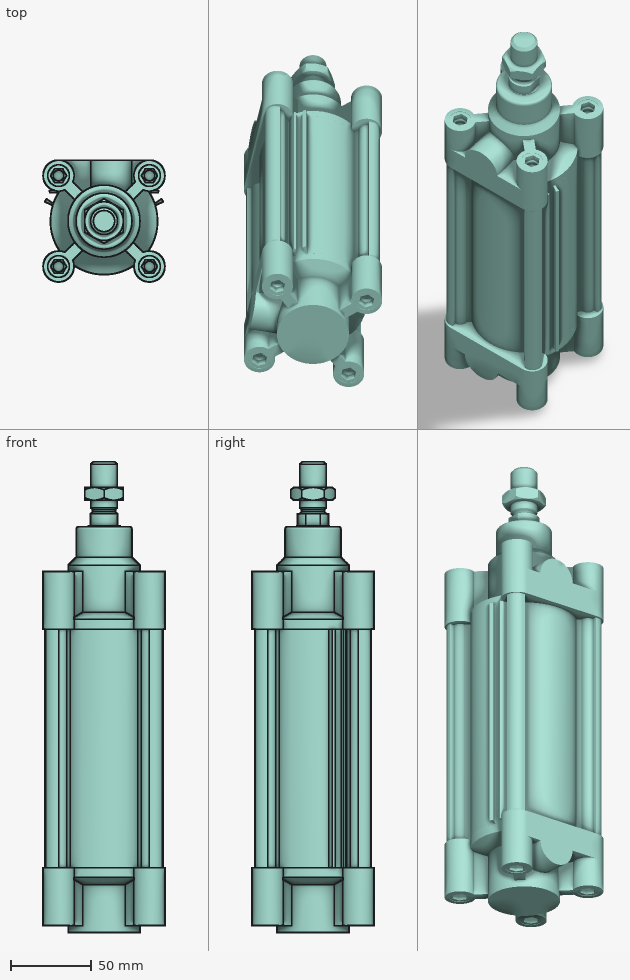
import cadquery as cq
import math

TOTAL_HEIGHT = 294.0
CORNER_OFFSET = 28.37
BOSS_DIAMETER = 19.5
RIB_WIDTH = 7.0

CAP_LENGTH = 36.2
FLANGE_RADIUS = 33.5
FLANGE_THICKNESS = 6.2
FLANGE_CONE_HEIGHT = 4.5
HUB_DIAMETER = 45.0
REAR_HUB_REACH = 4.5
FRONT_HUB_REACH = 3.8
SHOULDER_HEIGHT = 5.0
COLLAR_DIAMETER = 35.0
COLLAR_HEIGHT = 19.0
COLLAR_ROUND = 1.8

SOCKET_RING_DIAMETER = 13.5
SOCKET_RING_DEPTH = 0.3
HEX_CORNER_DIAMETER = 10.0
HEX_DEPTH = 4.5
HEX_PILOT_DIAMETER = 6.8
HEX_PILOT_DEPTH = 7.4

PORT_DIAMETER = 25.5
PORT_HEIGHT = 17.0
PORT_SHIFT = 4.5
PORT_REACH = CORNER_OFFSET + BOSS_DIAMETER / 2

BARREL_RADIUS = FLANGE_RADIUS
BARREL_LENGTH = 148.8
TIE_ROD_DIAMETER = 10.0
GUARD_RADIUS = 6.2
GUARD_FLAT = 1.8

ROD_DIAMETER = 20.0
ROD_FLAT_START = 0.5
ROD_FLAT_WIDTH = 17.0
ROD_FLAT_DIAMETER = 19.5
ROD_SHOULDER_REACH = 8.0
THREAD_DIAMETER = 16.8
THREAD_CHAMFER = 1.8
NECK_DIAMETER = 14.5
NECK_HEIGHT = 3.8

NUT_FLAT_WIDTH = 24.0
NUT_HEIGHT = 8.0
NUT_BASE_Z = 270.0
NUT_BEVEL = 1.5

REAR_INNER_Z = REAR_HUB_REACH + CAP_LENGTH
FRONT_INNER_Z = REAR_INNER_Z + BARREL_LENGTH
HUB_TOP = CAP_LENGTH + FRONT_HUB_REACH
COLLAR_BASE = HUB_TOP + SHOULDER_HEIGHT
COLLAR_TOP = COLLAR_BASE + COLLAR_HEIGHT
COLLAR_TOP_Z = FRONT_INNER_Z + COLLAR_TOP

HUB_RADIUS = HUB_DIAMETER / 2
COLLAR_RADIUS = COLLAR_DIAMETER / 2
CORNER_REACH = CORNER_OFFSET * math.sqrt(2)
CORNERS = [(sx * CORNER_OFFSET, sy * CORNER_OFFSET) for sx in (-1, 1) for sy in (-1, 1)]


def diagonal_ribs(length):
    """Two crossed bars that reach from corner to corner, standing on the XY plane."""
    bar = cq.Workplane("XY").rect(2 * CORNER_REACH, RIB_WIDTH).extrude(length)
    rising_bar = bar.rotate((0, 0, 0), (0, 0, 1), 45)
    falling_bar = bar.rotate((0, 0, 0), (0, 0, 1), -45)
    return rising_bar.union(falling_bar)


def corner_sockets():
    """Shallow ring, hexagon socket and pilot hole at the outer end of each boss."""
    face = cq.Workplane("XY", origin=(0, 0, CAP_LENGTH)).pushPoints(CORNERS)
    ring = face.circle(SOCKET_RING_DIAMETER / 2).extrude(-SOCKET_RING_DEPTH)
    hexagon = face.polygon(6, HEX_CORNER_DIAMETER).extrude(-HEX_DEPTH)
    pilot = face.circle(HEX_PILOT_DIAMETER / 2).extrude(-HEX_PILOT_DEPTH)
    return ring.union(hexagon).union(pilot)


def end_cap(hub_top):
    """Shared cap body: inner face at z = 0, bosses up to CAP_LENGTH, round hub up to hub_top."""
    cone_top = FLANGE_THICKNESS + FLANGE_CONE_HEIGHT
    core = (
        cq.Workplane("XZ")
        .polyline([
            (0, 0),
            (FLANGE_RADIUS, 0),
            (FLANGE_RADIUS, FLANGE_THICKNESS),
            (HUB_RADIUS, cone_top),
            (HUB_RADIUS, hub_top),
            (0, hub_top),
        ])
        .close()
        .revolve(360, (0, 0, 0), (0, 1, 0))
    )
    bosses = cq.Workplane("XY").pushPoints(CORNERS).circle(BOSS_DIAMETER / 2).extrude(CAP_LENGTH)
    port = (
        cq.Workplane("XZ", origin=(PORT_SHIFT, 0, PORT_HEIGHT))
        .circle(PORT_DIAMETER / 2)
        .extrude(-PORT_REACH)
    )
    side_plate = (
        cq.Workplane("XY")
        .polyline([
            (0, 0),
            (CORNER_OFFSET, CORNER_OFFSET),
            (CORNER_OFFSET, PORT_REACH),
            (-CORNER_OFFSET, PORT_REACH),
            (-CORNER_OFFSET, CORNER_OFFSET),
        ])
        .close()
        .extrude(PORT_HEIGHT)
    )
    body = core.union(bosses).union(diagonal_ribs(CAP_LENGTH)).union(side_plate).union(port)
    return body.cut(corner_sockets())


def make_front_cap():
    """Cap with the stepped collar that guides the piston rod."""
    nose = (
        cq.Workplane("XZ")
        .moveTo(0, HUB_TOP)
        .lineTo(HUB_RADIUS, HUB_TOP)
        .lineTo(COLLAR_RADIUS, COLLAR_BASE)
        .lineTo(COLLAR_RADIUS, COLLAR_TOP - COLLAR_ROUND)
        .radiusArc((COLLAR_RADIUS - COLLAR_ROUND, COLLAR_TOP), -COLLAR_ROUND)
        .lineTo(0, COLLAR_TOP)
        .close()
        .revolve(360, (0, 0, 0), (0, 1, 0))
    )
    rod_bore = cq.Workplane("XY").circle(ROD_DIAMETER / 2).extrude(COLLAR_TOP)
    cap = end_cap(HUB_TOP).union(nose).cut(rod_bore)
    return cap.translate((0, 0, FRONT_INNER_Z))


def make_rear_cap():
    """Cap turned upside down, with a plain hub below it."""
    cap = end_cap(CAP_LENGTH + REAR_HUB_REACH)
    return cap.mirror("XY").translate((0, 0, REAR_INNER_Z))


def tie_rod_guard():
    """Outer quarter around the tie rod in the +X +Y corner, with short flat ends."""
    reach = GUARD_FLAT + GUARD_RADIUS
    return (
        cq.Workplane("XY", origin=(CORNER_OFFSET, CORNER_OFFSET, 0))
        .lineTo(reach, 0)
        .lineTo(reach, GUARD_FLAT)
        .radiusArc((GUARD_FLAT, reach), -GUARD_RADIUS)
        .lineTo(0, reach)
        .close()
        .extrude(BARREL_LENGTH)
    )


def sensor_rail():
    """Two thin lips that form the sensor slot on the +X side, near the +Y corner."""
    lower_lip = [(29.5, 8.8), (32.0, 9.7), (37.0, 12.0), (36.0, 13.8), (32.3, 11.5), (29.5, 11.5)]
    upper_lip = [(23.5, 21.5), (26.5, 20.5), (34.0, 18.8), (33.8, 17.5), (26.5, 17.5)]
    lips = cq.Workplane("XY").polyline(lower_lip).close().extrude(BARREL_LENGTH)
    return lips.union(cq.Workplane("XY").polyline(upper_lip).close().extrude(BARREL_LENGTH))


def make_barrel():
    """Extruded barrel with webs, tie rods, guards and a sensor rail on each side."""
    barrel = cq.Workplane("XY").circle(BARREL_RADIUS).extrude(BARREL_LENGTH)
    tie_rods = cq.Workplane("XY").pushPoints(CORNERS).circle(TIE_ROD_DIAMETER / 2).extrude(BARREL_LENGTH)
    barrel = barrel.union(diagonal_ribs(BARREL_LENGTH)).union(tie_rods)
    for turn in (0, 90, 180, 270):
        barrel = barrel.union(tie_rod_guard().rotate((0, 0, 0), (0, 0, 1), turn))
    rail = sensor_rail()
    barrel = barrel.union(rail).union(rail.mirror("YZ"))
    return barrel.translate((0, 0, REAR_INNER_Z))


def make_rod():
    """Piston rod with wrench flats, a relief neck and a threaded end."""
    shoulder_z = COLLAR_TOP_Z + ROD_SHOULDER_REACH
    thread_z = shoulder_z + NECK_HEIGHT
    flat_z = COLLAR_TOP_Z + ROD_FLAT_START
    rod_radius = ROD_DIAMETER / 2
    flat_radius = ROD_FLAT_DIAMETER / 2
    thread_radius = THREAD_DIAMETER / 2
    neck_radius = NECK_DIAMETER / 2
    neck_slope = thread_radius - neck_radius
    rod = (
        cq.Workplane("XZ")
        .polyline([
            (0, FRONT_INNER_Z),
            (rod_radius, FRONT_INNER_Z),
            (rod_radius, flat_z),
            (flat_radius, flat_z),
            (flat_radius, shoulder_z),
            (thread_radius, shoulder_z),
            (neck_radius, shoulder_z + neck_slope),
            (neck_radius, thread_z - neck_slope),
            (thread_radius, thread_z),
            (thread_radius, TOTAL_HEIGHT - THREAD_CHAMFER),
            (thread_radius - THREAD_CHAMFER, TOTAL_HEIGHT),
            (0, TOTAL_HEIGHT),
        ])
        .close()
        .revolve(360, (0, 0, 0), (0, 1, 0))
    )
    flat_height = shoulder_z - flat_z
    flat_zone = cq.Workplane("XY", origin=(0, 0, flat_z)).rect(ROD_DIAMETER, ROD_DIAMETER).extrude(flat_height)
    kept = cq.Workplane("XY", origin=(0, 0, flat_z)).rect(ROD_FLAT_WIDTH, ROD_DIAMETER).extrude(flat_height)
    return rod.cut(flat_zone.cut(kept))


def make_nut():
    """Hexagon nut with two corners on the Y axis and bevelled corners at both ends."""
    corner_radius = NUT_FLAT_WIDTH / math.sqrt(3)
    bevel_radius = NUT_FLAT_WIDTH / 2
    hexagon = (
        cq.Workplane("XY")
        .polygon(6, 2 * corner_radius)
        .extrude(NUT_HEIGHT)
        .rotate((0, 0, 0), (0, 0, 1), 90)
    )
    bevel_limit = (
        cq.Workplane("XZ")
        .polyline([
            (0, 0),
            (bevel_radius, 0),
            (corner_radius, NUT_BEVEL),
            (corner_radius, NUT_HEIGHT - NUT_BEVEL),
            (bevel_radius, NUT_HEIGHT),
            (0, NUT_HEIGHT),
        ])
        .close()
        .revolve(360, (0, 0, 0), (0, 1, 0))
    )
    thread_hole = cq.Workplane("XY").circle(THREAD_DIAMETER / 2).extrude(NUT_HEIGHT)
    return hexagon.intersect(bevel_limit).cut(thread_hole).translate((0, 0, NUT_BASE_Z))


front_cap = make_front_cap()
rear_cap = make_rear_cap()
barrel = make_barrel()
rod = make_rod()
nut = make_nut()

result = cq.Compound.makeCompound([
    front_cap.val(),
    rear_cap.val(),
    barrel.val(),
    rod.val(),
    nut.val(),
])